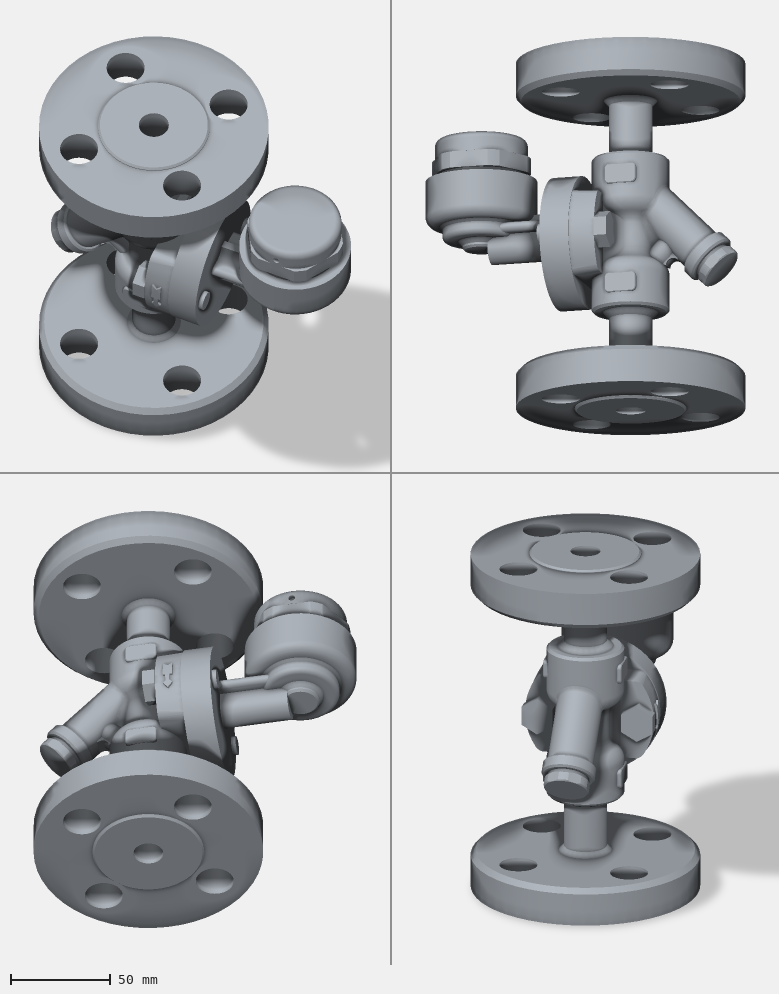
import cadquery as cq
import math

OVERALL_LENGTH = 163.11
OVERALL_HEIGHT = 180.0
END_Z = OVERALL_HEIGHT / 2
FLANGE_DIA = 115.0
FLANGE_R = FLANGE_DIA / 2
FACE_R = 56.0 / 2
FACE_HEIGHT = 1.4
FACE_CHAMFER = 1.0
FLANGE_BACK_Z = 69.4
FLANGE_CHAMFER = 2.6
BOLT_HOLE_DIA = 19.0
BOLT_CIRCLE_DIA = 80.0
PIPE_R = 21.7 / 2
FLANGE_HUB_R = 27.0 / 2
BORE_DIA = 15.0

BODY_R = 39.0 / 2
BODY_END_Z = 39.6
BODY_HUB_R = 14.0
BODY_CHAMFER = 1.3
BORE_DEPTH = END_Z - BODY_END_Z

OUTLET_Z = -2.0
SHOULDER_OFFSET = 18.75
SHOULDER_R = 8.0
WAIST_BLEND_R = 6.0
BLEND_ANGLE = math.radians(60)

PAD_WIDTH = 16.0
PAD_HEIGHT = 10.0
PAD_Z = 28.0
PAD_CORNER_R = 2.2
PAD_FACE_Y = 20.0
PAD_CHAMFER = 0.4

ARM_TILT = 45.0
ARM_ROOT_Z = 27.0
ARM_R = 23.0 / 2
ARM_BLEND_R = 3.0
ARM_WEB_HALF_WIDTH = 4.0
ARM_WEB_BLEND_R = 3.5
BRIDGE_DISTANCE = 38.2
BRIDGE_R = 6.5
BRIDGE_LENGTH = 21.0
COLLAR_R = 27.0 / 2
COLLAR_START = 53.0
COLLAR_LENGTH = 7.0
COLLAR_CHAMFER = 1.0
PLUG_NECK_R = 21.0 / 2
PLUG_NECK_LENGTH = 1.6
PLUG_HEX_FLATS = 22.0
PLUG_HEX_LENGTH = 5.4
PLUG_CORNER_R = 23.0 / 2
PLUG_CHAMFER = 0.6

OUTLET_FLANGE_R = 67.0 / 2
OUTLET_PAD_X = 9.8
OUTLET_FLANGE_X = 23.0
OUTLET_FLANGE_THICKNESS = 15.0
OUTLET_END_X = OUTLET_FLANGE_X + OUTLET_FLANGE_THICKNESS
OUTLET_PAD_R = 33.0
OUTLET_PAD_HALF_INNER = 20.5
OUTLET_PAD_HALF_OUTER = 21.8
OUTLET_PAD_EDGE_R = 5.0
NECK_HALF_HEIGHT = 16.0
NECK_HALF_WIDTH = 16.0
NECK_FLAT_END = (3.4, 13.1)
NECK_FLARE_MIDDLE = (7.2, 14.2)
BOLT_Y = 25.5
BOLT_DIA = 9.5
BOLT_PROTRUSION = 2.3
BOLT_HEX_FLATS = 16.0
BOLT_HEX_X = 3.4

DUCT_R = 8.0
DUCT_END_X = 72.3
WEB_BOTTOM_Z = 3.4
WEB_TOP_Z = 8.4
WEB_HALF_WIDTH = 14.0
RIB_TOP_Z = 13.7
RIB_HALF_WIDTH = 2.0

TRAP_R = 56.0 / 2
TRAP_X = OVERALL_LENGTH - FLANGE_R - TRAP_R
TRAP_BASE_R = 5.0
TRAP_BASE_Z = 9.6
TRAP_RIM_Z = 32.9
TRAP_FOOT_R = 39.0 / 2
TRAP_FOOT_Z = 2.0
TRAP_FOOT_ROUND = 2.6
TRAP_FOOT_FLARE = 1.4
TRAP_STUB_R = 19.0 / 2
TRAP_STUB_Z = -2.3
TRAP_STUB_CHAMFER = 1.1
STUB_FLARE = 2.2
TRAP_NECK_R = 22.2
CAP_HEX_Z = 35.7
CAP_HEX_FLATS = 46.1
CAP_CORNER_R = 25.0
CAP_R = 46.5 / 2
CAP_ROUND_Z = 44.0
CAP_TOP_Z = 54.2
CAP_EDGE_R = 3.3
CAP_HOLE_DIA = 3.3
CAP_HOLE_Z = 47.8
CAP_HOLE_DEPTH = 2.0

ARROW_X = 16.4
ARROW_FACE = OUTLET_FLANGE_R + 0.7
ARROW_TOP = 8.0
ARROW_NOTCH = 2.0
ARROW_SHOULDER = -0.3
ARROW_HEAD = -5.4
ARROW_TIP = -8.2
ARROW_HALF_WIDTH = 2.4
ARROW_STEM_HALF = 1.1


def cylinder_x(radius, x_start, length, y=0.0):
    """Cylinder along +X at the outlet height."""
    return (
        cq.Workplane("YZ", origin=(x_start, y, OUTLET_Z))
        .circle(radius)
        .extrude(length)
    )


def hexagon(workplane, across_flats, length):
    """Hexagonal prism with two corners on the local x direction."""
    return workplane.polygon(6, across_flats / math.cos(math.pi / 6)).extrude(length)


def trimmed_hexagon(workplane, across_flats, envelope, length):
    """Hexagonal prism whose corners are turned down to a round envelope."""
    return hexagon(workplane, across_flats, length).intersect(envelope)


def end_flange():
    """Upper flange with its raised face, back chamfer, hub and pipe."""
    flange_face_z = END_Z - FACE_HEIGHT
    hub_height = FLANGE_HUB_R - PIPE_R
    flange = (
        cq.Workplane("XZ")
        .moveTo(0, END_Z)
        .lineTo(FACE_R - FACE_CHAMFER, END_Z)
        .lineTo(FACE_R, END_Z - FACE_CHAMFER)
        .lineTo(FACE_R, flange_face_z)
        .lineTo(FLANGE_R, flange_face_z)
        .lineTo(FLANGE_R, FLANGE_BACK_Z + FLANGE_CHAMFER)
        .lineTo(FLANGE_R - FLANGE_CHAMFER, FLANGE_BACK_Z)
        .lineTo(FLANGE_HUB_R, FLANGE_BACK_Z)
        .lineTo(PIPE_R, FLANGE_BACK_Z - hub_height)
        .lineTo(PIPE_R, BODY_END_Z)
        .lineTo(0, BODY_END_Z)
        .close()
        .revolve(360, (0, 0, 0), (0, 1, 0))
    )
    holes = (
        cq.Workplane("XY", origin=(0, 0, FLANGE_BACK_Z))
        .polarArray(BOLT_CIRCLE_DIA / 2, 45, 360, 4)
        .circle(BOLT_HOLE_DIA / 2)
        .extrude(END_Z - FLANGE_BACK_Z)
    )
    return flange.cut(holes)


def bore():
    """Blind bore entering the upper flange face."""
    return (
        cq.Workplane("XY", origin=(0, 0, END_Z))
        .circle(BORE_DIA / 2)
        .extrude(-BORE_DEPTH)
    )


def valve_body():
    """Turned body: two barrels joined by a waist with S-shaped shoulders."""

    def blend_point(angle, side):
        """Point on the convex shoulder, measured from the barrel wall."""
        radius = BODY_R - SHOULDER_R * (1 - math.cos(angle))
        z = OUTLET_Z + side * (SHOULDER_OFFSET - SHOULDER_R * math.sin(angle))
        return radius, z

    def waist_point(angle, side):
        """Point on the concave blend; at angle zero it meets the waist."""
        join_r, join_z = blend_point(BLEND_ANGLE, side)
        radius = join_r - WAIST_BLEND_R * (math.cos(angle) - math.cos(BLEND_ANGLE))
        z = join_z - side * WAIST_BLEND_R * (math.sin(BLEND_ANGLE) - math.sin(angle))
        return radius, z

    half = BLEND_ANGLE / 2
    hub_height = BODY_HUB_R - PIPE_R
    return (
        cq.Workplane("XZ")
        .moveTo(0, BODY_END_Z + hub_height)
        .lineTo(PIPE_R, BODY_END_Z + hub_height)
        .lineTo(BODY_HUB_R, BODY_END_Z)
        .lineTo(BODY_R - BODY_CHAMFER, BODY_END_Z)
        .lineTo(BODY_R, BODY_END_Z - BODY_CHAMFER)
        .lineTo(*blend_point(0, 1))
        .threePointArc(blend_point(half, 1), blend_point(BLEND_ANGLE, 1))
        .threePointArc(waist_point(half, 1), waist_point(0, 1))
        .lineTo(*waist_point(0, -1))
        .threePointArc(waist_point(half, -1), waist_point(BLEND_ANGLE, -1))
        .threePointArc(blend_point(half, -1), blend_point(0, -1))
        .lineTo(BODY_R, BODY_CHAMFER - BODY_END_Z)
        .lineTo(BODY_R - BODY_CHAMFER, -BODY_END_Z)
        .lineTo(BODY_HUB_R, -BODY_END_Z)
        .lineTo(PIPE_R, -BODY_END_Z - hub_height)
        .lineTo(0, -BODY_END_Z - hub_height)
        .close()
        .revolve(360, (0, 0, 0), (0, 1, 0))
    )


def side_pads():
    """Four flat pads, front and back of each barrel."""
    pads = cq.Workplane("XY")
    for z in (-PAD_Z, PAD_Z):
        pad = (
            cq.Workplane("XY", origin=(0, 0, z))
            .box(PAD_WIDTH, 2 * PAD_FACE_Y, PAD_HEIGHT)
            .edges("|Y")
            .fillet(PAD_CORNER_R)
            .faces("|Y")
            .edges()
            .chamfer(PAD_CHAMFER)
        )
        pads = pads.add(pad)
    return pads.combine()


def arm_plane(distance):
    """Plane across the arm axis at a distance from the pipe axis."""
    tilt = math.radians(ARM_TILT)
    direction = (-math.cos(tilt), 0, -math.sin(tilt))
    origin = (direction[0] * distance, 0, ARM_ROOT_Z + direction[2] * distance)
    x_direction = (math.sin(tilt), 0, -math.cos(tilt))
    return cq.Workplane(cq.Plane(origin=origin, xDir=x_direction, normal=direction))


def body_with_arm():
    """Valve body with the strainer arm blended in where they meet."""
    arm = arm_plane(0).circle(ARM_R).extrude(COLLAR_START)
    body = valve_body()
    joined = body.union(arm)
    junction = [e for e in joined.edges().vals() if e.geomType() not in ("LINE", "CIRCLE")]
    return joined.newObject(junction).fillet(ARM_BLEND_R)


def arm_bridge():
    """Round bridge from the strainer arm to the lower barrel, with a curved web."""
    tilt = math.radians(ARM_TILT)
    root_x = -BRIDGE_DISTANCE * math.cos(tilt)
    root_z = ARM_ROOT_Z - BRIDGE_DISTANCE * math.sin(tilt)
    across = (math.sin(tilt), 0, -math.cos(tilt))
    bridge = (
        cq.Workplane(cq.Plane(origin=(root_x, 0, root_z), xDir=(0, 1, 0), normal=across))
        .circle(BRIDGE_R)
        .extrude(BRIDGE_LENGTH)
    )
    bridge_end = (root_x + across[0] * BRIDGE_LENGTH, root_z + across[2] * BRIDGE_LENGTH)

    arm_normal = math.pi / 2 + tilt
    arc_x = -BODY_R - ARM_WEB_BLEND_R
    arm_bottom_z = ARM_ROOT_Z - ARM_R / math.cos(tilt)
    arc_z = arm_bottom_z + arc_x * math.tan(tilt) - ARM_WEB_BLEND_R / math.cos(tilt)

    def arc_point(angle):
        """Point on the concave lower edge."""
        return (
            arc_x + ARM_WEB_BLEND_R * math.cos(angle),
            arc_z + ARM_WEB_BLEND_R * math.sin(angle),
        )

    web = (
        cq.Workplane("XZ")
        .moveTo(*arc_point(arm_normal))
        .threePointArc(arc_point(arm_normal / 2), arc_point(0))
        .lineTo(*bridge_end)
        .lineTo(root_x, root_z)
        .close()
        .extrude(ARM_WEB_HALF_WIDTH, both=True)
    )
    return bridge.union(web)


def arm_plug():
    """Collar and hexagon plug closing the strainer arm."""
    collar = (
        arm_plane(COLLAR_START)
        .circle(COLLAR_R)
        .extrude(COLLAR_LENGTH)
        .edges()
        .chamfer(COLLAR_CHAMFER)
    )
    neck_start = COLLAR_START + COLLAR_LENGTH
    neck = arm_plane(neck_start).circle(PLUG_NECK_R).extrude(PLUG_NECK_LENGTH)
    head_plane = arm_plane(neck_start + PLUG_NECK_LENGTH)
    turned = head_plane.circle(PLUG_CORNER_R).extrude(PLUG_HEX_LENGTH).edges().chamfer(PLUG_CHAMFER)
    head = trimmed_hexagon(head_plane, PLUG_HEX_FLATS, turned, PLUG_HEX_LENGTH)
    return collar.union(neck).union(head)


def outlet_neck():
    """Flared web joining the waist to the outlet pad."""
    waist_y = BODY_R - (SHOULDER_R + WAIST_BLEND_R) * (1 - math.cos(BLEND_ANGLE))
    return (
        cq.Workplane("XY", origin=(0, 0, OUTLET_Z - NECK_HALF_HEIGHT))
        .moveTo(0, waist_y)
        .lineTo(*NECK_FLAT_END)
        .threePointArc(NECK_FLARE_MIDDLE, (OUTLET_PAD_X, NECK_HALF_WIDTH))
        .lineTo(OUTLET_PAD_X, 0)
        .lineTo(0, 0)
        .close()
        .extrude(2 * NECK_HALF_HEIGHT)
        .mirror("XZ", union=True)
    )


def outlet_pad():
    """Round pad behind the outlet flange, with tapered flats above and below."""
    length = OUTLET_FLANGE_X - OUTLET_PAD_X
    flats = (
        cq.Workplane("XZ", origin=(0, 0, OUTLET_Z))
        .moveTo(OUTLET_PAD_X, -OUTLET_PAD_HALF_INNER)
        .lineTo(OUTLET_FLANGE_X, -OUTLET_PAD_HALF_OUTER)
        .lineTo(OUTLET_FLANGE_X, OUTLET_PAD_HALF_OUTER)
        .lineTo(OUTLET_PAD_X, OUTLET_PAD_HALF_INNER)
        .close()
        .extrude(OUTLET_PAD_R, both=True)
    )
    pad = cylinder_x(OUTLET_PAD_R, OUTLET_PAD_X, length).intersect(flats)
    corner_edges = pad.edges("not(<X or >X)")
    return corner_edges.fillet(OUTLET_PAD_EDGE_R)


def flow_arrow():
    """Raised arrow pointing down on the -Y side of the outlet pad."""
    half_outline = [
        (0, ARROW_TOP - ARROW_NOTCH),
        (ARROW_HALF_WIDTH, ARROW_TOP),
        (ARROW_HALF_WIDTH, ARROW_SHOULDER),
        (ARROW_STEM_HALF, ARROW_SHOULDER),
        (ARROW_STEM_HALF, ARROW_HEAD + ARROW_HALF_WIDTH - ARROW_STEM_HALF),
        (ARROW_HALF_WIDTH, ARROW_HEAD),
        (0, ARROW_TIP),
    ]
    shape = (
        cq.Workplane("XZ", origin=(ARROW_X, 0, OUTLET_Z))
        .polyline(half_outline)
        .close()
        .extrude(ARROW_FACE)
        .mirror("YZ", basePointVector=(ARROW_X, 0, 0), union=True)
    )
    length = OUTLET_FLANGE_X - OUTLET_PAD_X
    return shape.intersect(cylinder_x(ARROW_FACE, OUTLET_PAD_X, length))


def outlet_flange():
    """Outlet pad and flange with two through bolts."""
    outlet = outlet_pad().union(
        cylinder_x(OUTLET_FLANGE_R, OUTLET_FLANGE_X, OUTLET_FLANGE_THICKNESS)
    )
    for y in (-BOLT_Y, BOLT_Y):
        head_plane = cq.Workplane(
            cq.Plane(origin=(BOLT_HEX_X, y, OUTLET_Z), xDir=(0, 0, 1), normal=(1, 0, 0))
        )
        head = hexagon(head_plane, BOLT_HEX_FLATS, OUTLET_PAD_X - BOLT_HEX_X)
        shank = cylinder_x(BOLT_DIA / 2, OUTLET_END_X, BOLT_PROTRUSION, y)
        outlet = outlet.union(head).union(shank)
    return outlet.union(flow_arrow())


def connecting_arm():
    """Arm from the outlet flange to the trap: duct, round-edged web and rib."""
    duct = (
        cq.Workplane("YZ", origin=(OUTLET_END_X, 0, 0))
        .moveTo(-DUCT_R, OUTLET_Z)
        .threePointArc((0, OUTLET_Z - DUCT_R), (DUCT_R, OUTLET_Z))
        .lineTo(DUCT_R, WEB_TOP_Z)
        .lineTo(-DUCT_R, WEB_TOP_Z)
        .close()
        .extrude(DUCT_END_X - OUTLET_END_X)
    )
    web_r = (WEB_TOP_Z - WEB_BOTTOM_Z) / 2
    web = (
        cq.Workplane("YZ", origin=(OUTLET_END_X, 0, WEB_BOTTOM_Z + web_r))
        .slot2D(2 * WEB_HALF_WIDTH, 2 * web_r)
        .extrude(TRAP_X - OUTLET_END_X)
    )
    rib_blend_r = RIB_TOP_Z - WEB_TOP_Z
    rib_foot = RIB_HALF_WIDTH + rib_blend_r
    diagonal = rib_blend_r * math.sqrt(0.5)
    rib = (
        cq.Workplane("YZ", origin=(OUTLET_END_X, 0, 0))
        .moveTo(-rib_foot, WEB_TOP_Z)
        .threePointArc((diagonal - rib_foot, RIB_TOP_Z - diagonal), (-RIB_HALF_WIDTH, RIB_TOP_Z))
        .lineTo(RIB_HALF_WIDTH, RIB_TOP_Z)
        .threePointArc((rib_foot - diagonal, RIB_TOP_Z - diagonal), (rib_foot, WEB_TOP_Z))
        .close()
        .extrude(TRAP_X - OUTLET_END_X)
    )
    return duct.union(web).union(rib)


def trap_chamber():
    """Turned chamber with a rounded base, a foot and a bottom stub."""
    base_diagonal = TRAP_BASE_R * math.sqrt(0.5)
    base_center_r = TRAP_R - TRAP_BASE_R
    base_center_z = TRAP_BASE_Z + TRAP_BASE_R
    return (
        cq.Workplane("XZ", origin=(TRAP_X, 0, 0))
        .moveTo(0, TRAP_STUB_Z)
        .lineTo(TRAP_STUB_R - TRAP_STUB_CHAMFER, TRAP_STUB_Z)
        .lineTo(TRAP_STUB_R, TRAP_STUB_Z + TRAP_STUB_CHAMFER)
        .lineTo(TRAP_STUB_R, TRAP_FOOT_Z - STUB_FLARE)
        .lineTo(TRAP_STUB_R + STUB_FLARE, TRAP_FOOT_Z)
        .lineTo(TRAP_FOOT_R - TRAP_FOOT_ROUND, TRAP_FOOT_Z)
        .radiusArc((TRAP_FOOT_R, TRAP_FOOT_Z + TRAP_FOOT_ROUND), -TRAP_FOOT_ROUND)
        .lineTo(TRAP_FOOT_R, TRAP_BASE_Z - TRAP_FOOT_FLARE)
        .lineTo(TRAP_FOOT_R + TRAP_FOOT_FLARE, TRAP_BASE_Z)
        .lineTo(base_center_r, TRAP_BASE_Z)
        .threePointArc(
            (base_center_r + base_diagonal, base_center_z - base_diagonal),
            (TRAP_R, base_center_z),
        )
        .lineTo(TRAP_R, TRAP_RIM_Z)
        .lineTo(TRAP_NECK_R, TRAP_RIM_Z)
        .lineTo(TRAP_NECK_R, CAP_HEX_Z)
        .lineTo(0, CAP_HEX_Z)
        .close()
        .revolve(360, (0, 0, 0), (0, 1, 0))
    )


def trap_cap():
    """Hexagon and domed round cap with a small side hole."""
    nut_plane = cq.Workplane("XY", origin=(TRAP_X, 0, CAP_HEX_Z))
    nut_height = CAP_ROUND_Z - CAP_HEX_Z
    turned = nut_plane.circle(CAP_CORNER_R).extrude(nut_height)
    nut = trimmed_hexagon(nut_plane, CAP_HEX_FLATS, turned, nut_height)
    cap = (
        cq.Workplane("XY", origin=(TRAP_X, 0, CAP_ROUND_Z))
        .circle(CAP_R)
        .extrude(CAP_TOP_Z - CAP_ROUND_Z)
        .faces(">Z")
        .edges()
        .fillet(CAP_EDGE_R)
    )
    hole = (
        cq.Workplane("XZ", origin=(TRAP_X, CAP_HOLE_DEPTH - CAP_R, CAP_HOLE_Z))
        .circle(CAP_HOLE_DIA / 2)
        .extrude(CAP_R)
    )
    return nut.union(cap.cut(hole))


upper_flange = end_flange()
lower_flange = upper_flange.mirror("XY")
result = (
    body_with_arm()
    .union(side_pads())
    .union(arm_bridge())
    .union(arm_plug())
    .union(outlet_neck())
    .union(outlet_flange())
    .union(connecting_arm())
    .union(trap_chamber())
    .union(trap_cap())
    .union(upper_flange)
    .union(lower_flange)
    .cut(bore())
    .cut(bore().mirror("XY"))
)